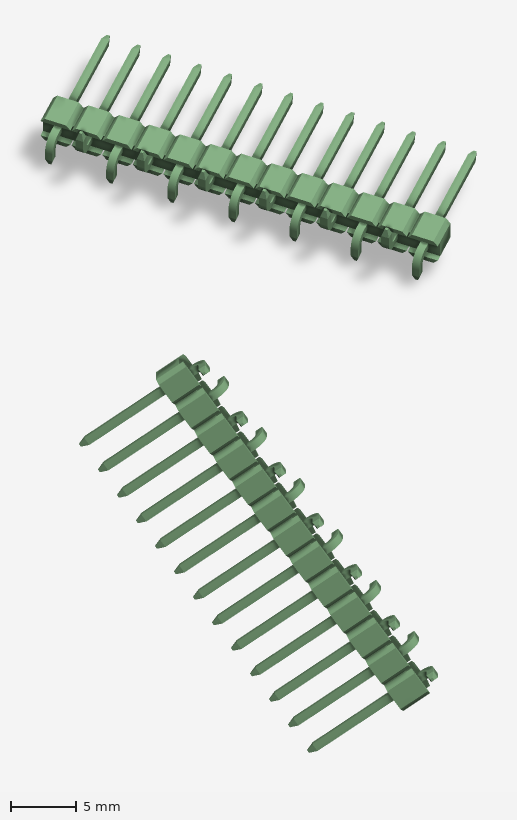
import cadquery as cq

row_length = 33.02
pin_count = 13
pitch = row_length / pin_count

housing_depth = pitch
housing_height = pitch
flange_thickness = 0.43
flange_overhang = 0.5
flange_bevel = 0.35
segment_gap = 0.1
core_height = housing_height - 2 * flange_thickness
core_depth = housing_depth - flange_overhang
housing_front = -housing_depth / 2
housing_back = housing_depth / 2

overall_depth = 11.95
overall_height = 4.8
wire = 0.63
tail_reach = 1.4
bend_inner_radius = 0.55
bend_outer_radius = bend_inner_radius + wire
tip_length = 0.65
tip_width = 0.23
pin_front = housing_front - tail_reach
pin_back = pin_front + overall_depth
tail_end = -overall_height / 2


def core_bar():
    """Solid bar joining all segments, set back from the flange fronts."""
    return cq.Workplane("XY").box(row_length, core_depth, core_height).translate(
        (0, housing_back - core_depth / 2, 0)
    )


def upper_flange(left, right):
    """Trapezoidal strip on top of the core, running the full housing depth."""
    base = core_height / 2
    top = housing_height / 2
    outline = [
        (left, base),
        (right, base),
        (right - flange_bevel, top),
        (left + flange_bevel, top),
    ]
    return (
        cq.Workplane("XZ", origin=(0, housing_back, 0))
        .polyline(outline)
        .close()
        .extrude(housing_depth)
    )


def tapered_tip(plane):
    """Square pyramid frustum pointing along the plane normal."""
    return (
        cq.Workplane(plane)
        .rect(wire, wire)
        .workplane(offset=tip_length)
        .rect(tip_width, tip_width)
        .loft(ruled=True)
    )


def bent_pin():
    """Pin centred on x = 0 with its tail bent down."""
    half = wire / 2
    shaft_end = pin_back - tip_length
    tail_shoulder = tail_end + tip_length
    bend_start = pin_front + bend_outer_radius
    bend_bottom = half - bend_outer_radius
    wire_body = (
        cq.Workplane("YZ", origin=(-half, 0, 0))
        .moveTo(shaft_end, half)
        .lineTo(bend_start, half)
        .tangentArcPoint((pin_front, bend_bottom), relative=False)
        .lineTo(pin_front, tail_shoulder)
        .lineTo(pin_front + wire, tail_shoulder)
        .lineTo(pin_front + wire, bend_bottom)
        .tangentArcPoint((bend_start, -half), relative=False)
        .lineTo(shaft_end, -half)
        .close()
        .extrude(wire)
    )
    shaft_tip = tapered_tip(cq.Plane((0, shaft_end, 0), (1, 0, 0), (0, 1, 0)))
    tail_tip = tapered_tip(cq.Plane((0, pin_front + half, tail_shoulder), (1, 0, 0), (0, 0, -1)))
    return wire_body.union(shaft_tip).union(tail_tip)


pin_down = bent_pin()
pin_up = pin_down.mirror("XY")

result = core_bar()
for index in range(pin_count):
    segment_left = -row_length / 2 + index * pitch
    segment_right = segment_left + pitch

    flange_left = segment_left if index == 0 else segment_left + segment_gap / 2
    flange_right = segment_right if index == pin_count - 1 else segment_right - segment_gap / 2
    flange = upper_flange(flange_left, flange_right)
    result = result.union(flange).union(flange.mirror("XY"))

    pin = pin_down if index % 2 == 0 else pin_up
    result = result.union(pin.translate((segment_left + pitch / 2, 0, 0)))